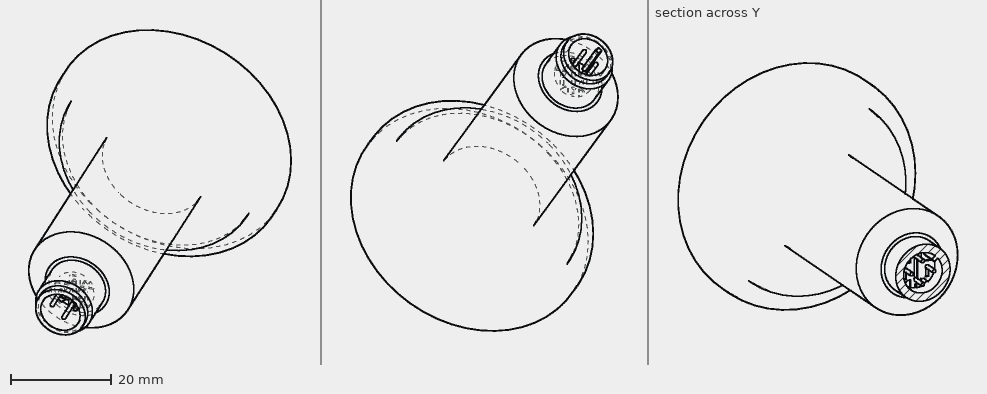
import cadquery as cq
import math


flange_diameter = 50.5
flange_rim_length = 3.0
flange_edge_radius = 0.7
flange_slope_angle = 20.0
flange_root_radius = 2.0

hub_diameter = 42.0
hub_face_distance = 9.3
hub_edge_radius = 1.6

tube_diameter = 22.2
tube_root_radius = 1.5
tube_end_distance = 56.0
taper_length = 2.5
taper_angle = 60.0

plug_diameter = 12.0
plug_tip_diameter = 10.5
plug_chamfer = (plug_diameter - plug_tip_diameter) / 2
plug_tip_length = 1.5
overall_length = 68.9

socket_diameter = 8.3
socket_depth = 8.5
carrier_recess_depth = 0.5
carrier_bar_width = 2.34
carrier_bar_top = 3.52
carrier_bar_corner_radius = 0.5
carrier_arm_top = 1.22
carrier_arm_bottom = -2.4
carrier_arm_corner_x = 1.85
carrier_arm_corner_drop = 0.9
carrier_notch_width = 0.4
carrier_notch_height = 0.75

groove_width = 0.7
groove_depth = 0.3
side_groove_length = 1.7

root_overlap = 0.5

pin_count = 4
pin_diameter = 0.8
pin_tip_diameter = 0.4
pin_tip_radius = (pin_diameter - pin_tip_diameter) / 2
pin_circle_radius = 2.46
pin_tip_recess = 1.9

key_width = 0.9
key_inner_radius = 3.2
key_angle = 45.0
key_recess = 1.0

socket_floor_y = socket_depth - overall_length
recess_floor_y = socket_floor_y + carrier_recess_depth


def prism(outline, y_start, y_end):
    """Extrude an outline function, drawn in X and Z, from y_start to y_end."""
    plane = cq.Workplane("XZ", origin=(0, y_start, 0))
    return outline(plane).extrude(y_start - y_end)


def make_body():
    """Turned solid; the profile is drawn as (radius, -distance from the back)."""
    flange_radius = flange_diameter / 2
    hub_radius = hub_diameter / 2
    tube_radius = tube_diameter / 2
    plug_radius = plug_diameter / 2
    tip_radius = plug_tip_diameter / 2
    slope = math.radians(flange_slope_angle)
    mid_turn = (math.pi / 2 + slope) / 2

    edge_centre = (flange_radius - flange_edge_radius, flange_rim_length)

    def edge_point(angle):
        return (
            edge_centre[0] + flange_edge_radius * math.sin(angle),
            -edge_centre[1] - flange_edge_radius * math.cos(angle),
        )

    slope_start = edge_point(slope)
    root_centre_radius = hub_radius + flange_root_radius
    slope_end_radius = root_centre_radius - flange_root_radius * math.sin(slope)
    slope_end_y = slope_start[1] - (slope_start[0] - slope_end_radius) * math.tan(slope)
    root_centre_y = slope_end_y - flange_root_radius * math.cos(slope)

    root_middle = (
        root_centre_radius - flange_root_radius * math.sin(mid_turn),
        root_centre_y + flange_root_radius * math.cos(mid_turn),
    )
    diagonal = math.sqrt(0.5)
    hub_edge_middle = (
        hub_radius - hub_edge_radius * (1 - diagonal),
        -hub_face_distance + hub_edge_radius * (1 - diagonal),
    )
    tube_root_middle = (
        tube_radius + tube_root_radius * (1 - diagonal),
        -hub_face_distance - tube_root_radius * (1 - diagonal),
    )
    taper_end_distance = tube_end_distance + taper_length
    taper_end_radius = tube_radius - taper_length * math.tan(math.radians(taper_angle))
    tip_start_distance = overall_length - plug_tip_length

    profile = (
        cq.Workplane("XY")
        .lineTo(flange_radius, 0)
        .lineTo(flange_radius, -flange_rim_length)
        .threePointArc(edge_point(mid_turn), slope_start)
        .lineTo(slope_end_radius, slope_end_y)
        .threePointArc(root_middle, (hub_radius, root_centre_y))
        .lineTo(hub_radius, -hub_face_distance + hub_edge_radius)
        .threePointArc(hub_edge_middle, (hub_radius - hub_edge_radius, -hub_face_distance))
        .lineTo(tube_radius + tube_root_radius, -hub_face_distance)
        .threePointArc(tube_root_middle, (tube_radius, -hub_face_distance - tube_root_radius))
        .lineTo(tube_radius, -tube_end_distance)
        .lineTo(taper_end_radius, -taper_end_distance)
        .lineTo(plug_radius, -taper_end_distance)
        .lineTo(plug_radius, -tip_start_distance + plug_chamfer)
        .lineTo(tip_radius, -tip_start_distance)
        .lineTo(tip_radius, -overall_length)
        .lineTo(0, -overall_length)
        .close()
    )
    return profile.revolve(360, (0, 0, 0), (0, 1, 0))


def make_socket():
    """Void of the socket down to the lowest floor around the carrier."""
    return prism(lambda p: p.circle(socket_diameter / 2), -overall_length, recess_floor_y)


def make_carrier():
    """Raised cross on the socket floor: an upright bar with two side arms."""
    socket_radius = socket_diameter / 2
    bar_height = carrier_bar_top + socket_radius
    bar = prism(
        lambda p: p.center(0, carrier_bar_top - bar_height / 2).rect(carrier_bar_width, bar_height),
        socket_floor_y,
        recess_floor_y,
    )
    bar = bar.edges("|Y and >Z").fillet(carrier_bar_corner_radius)

    arm_end_z = carrier_arm_bottom - carrier_arm_corner_drop
    arm_end_x = carrier_arm_corner_x + carrier_arm_corner_drop
    arm_outline = [
        (-socket_radius, carrier_arm_top),
        (socket_radius, carrier_arm_top),
        (socket_radius, arm_end_z),
        (arm_end_x, arm_end_z),
        (carrier_arm_corner_x, carrier_arm_bottom),
        (-carrier_arm_corner_x, carrier_arm_bottom),
        (-arm_end_x, arm_end_z),
        (-socket_radius, arm_end_z),
    ]
    arms = prism(lambda p: p.polyline(arm_outline).close(), socket_floor_y, recess_floor_y)

    notch = prism(
        lambda p: p.center(0, -socket_radius + carrier_notch_height / 2).rect(
            carrier_notch_width, carrier_notch_height
        ),
        socket_floor_y,
        recess_floor_y,
    )
    return bar.union(arms).cut(notch).intersect(make_socket())


def make_grooves():
    """Shallow grooves: one between the upper and lower pins, one below each side pin."""
    groove_floor_y = socket_floor_y + groove_depth

    def groove(x, top, bottom):
        return prism(
            lambda p: p.center(x, (top + bottom) / 2).rect(groove_width, top - bottom),
            socket_floor_y,
            groove_floor_y,
        )

    grooves = groove(0, pin_circle_radius, -pin_circle_radius)
    for x in (-pin_circle_radius, pin_circle_radius):
        grooves = grooves.union(groove(x, 0, -side_groove_length - pin_diameter / 2))
    return grooves


def make_pin(x, z):
    """Round contact pin with a rounded tip, rooted in the body."""
    tip_y = pin_tip_recess - overall_length
    root_y = recess_floor_y + root_overlap
    pin = prism(lambda p: p.circle(pin_diameter / 2), tip_y, root_y)
    pin = pin.faces("<Y").edges().fillet(pin_tip_radius)
    return pin.translate((x, 0, z))


def make_key():
    """Coding rib that runs along the socket wall from the floor."""
    outer_radius = (socket_diameter + plug_tip_diameter) / 4
    rib = prism(
        lambda p: p.center((key_inner_radius + outer_radius) / 2, 0).rect(
            outer_radius - key_inner_radius, key_width
        ),
        key_recess - overall_length,
        recess_floor_y + root_overlap,
    )
    return rib.rotate((0, 0, 0), (0, 1, 0), -key_angle)


result = make_body().cut(make_socket())
result = result.union(make_carrier())
result = result.cut(make_grooves())
result = result.union(make_key())
for quarter in range(pin_count):
    pin_angle = 2 * math.pi * quarter / pin_count
    pin_x = pin_circle_radius * math.cos(pin_angle)
    pin_z = pin_circle_radius * math.sin(pin_angle)
    result = result.union(make_pin(pin_x, pin_z))